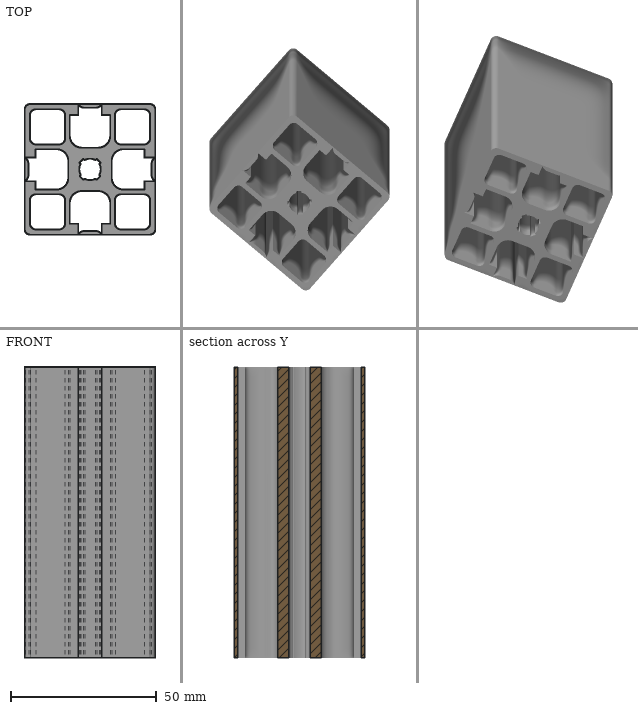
import cadquery as cq
import math

side = 45.0
length = 100.0
outer_radius = 2.0
half_side = side / 2

opening_half_width = 4.0
lip_depth = 3.85
cavity_half_width = 6.9
cavity_floor = 7.5
cavity_corner_radius = 4.0
cover_thickness = 1.4
cover_flat_half_width = 1.8
cover_edge_thickness = 0.2

hollow_size = 12.0
outer_wall = 1.9
hollow_radius = 2.0
hollow_offset = half_side - outer_wall - hollow_size / 2

bore_radius = 3.65
notch_width = 1.8
notch_reach = 4.15


def square_bar():
    bar = cq.Workplane("XY").rect(side, side).extrude(length)
    return bar.edges("|Z").fillet(outer_radius)


def slot_cutter():
    """T-slot of the +Y face, left closed by the cover wall."""
    lip_y = half_side - lip_depth
    cover_edge_y = half_side - cover_edge_thickness
    cover_inner_y = half_side - cover_thickness
    edge_run = opening_half_width - cover_flat_half_width
    edge_rise = cover_edge_y - cover_inner_y
    edge_radius = (edge_run**2 + edge_rise**2) / (2 * edge_rise)
    half_sweep = math.asin(edge_run / edge_radius) / 2
    arc_mid_x = cover_flat_half_width + edge_radius * math.sin(half_sweep)
    arc_mid_y = cover_inner_y + edge_radius * (1 - math.cos(half_sweep))

    cutter = (
        cq.Workplane("XY")
        .moveTo(-cavity_half_width, cavity_floor)
        .lineTo(cavity_half_width, cavity_floor)
        .lineTo(cavity_half_width, lip_y)
        .lineTo(opening_half_width, lip_y)
        .lineTo(opening_half_width, cover_edge_y)
        .threePointArc((arc_mid_x, arc_mid_y), (cover_flat_half_width, cover_inner_y))
        .lineTo(-cover_flat_half_width, cover_inner_y)
        .threePointArc((-arc_mid_x, arc_mid_y), (-opening_half_width, cover_edge_y))
        .lineTo(-opening_half_width, lip_y)
        .lineTo(-cavity_half_width, lip_y)
        .close()
        .extrude(length)
    )
    return cutter.edges("|Z and <Y").fillet(cavity_corner_radius)


def corner_hollows():
    centers = [(sx * hollow_offset, sy * hollow_offset) for sx in (-1, 1) for sy in (-1, 1)]
    hollows = cq.Workplane("XY").pushPoints(centers).rect(hollow_size, hollow_size).extrude(length)
    return hollows.edges("|Z").fillet(hollow_radius)


def core_hole():
    hole = cq.Workplane("XY").circle(bore_radius).extrude(length)
    for angle in (45, 135):
        notch_pair = cq.Workplane("XY").rect(2 * notch_reach, notch_width).extrude(length)
        hole = hole.union(notch_pair.rotate((0, 0, 0), (0, 0, 1), angle))
    return hole


result = square_bar().cut(corner_hollows()).cut(core_hole())
for angle in (0, 90, 180, 270):
    result = result.cut(slot_cutter().rotate((0, 0, 0), (0, 0, 1), angle))